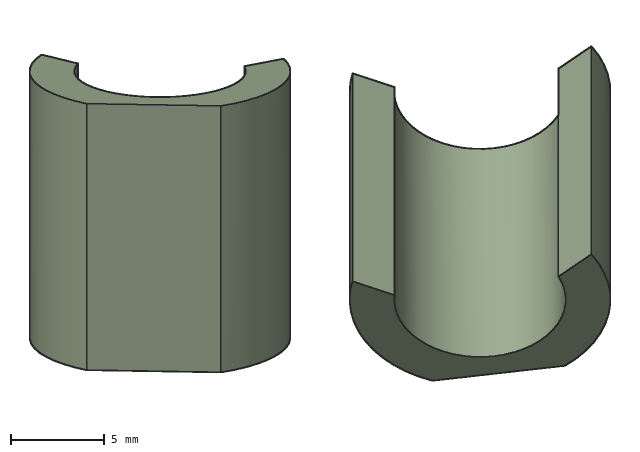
import cadquery as cq
import math

height = 15.0
outer_radius = 7.0
inner_radius = 4.6
flat_distance = 6.0
mouth_outer_width = 13.0
mouth_inner_width = 8.92
mouth_direction = 141.85


def point_on_circle(radius, half_width):
    """Point at the given sideways offset, on the +X (mouth) side of a circle."""
    return (math.sqrt(radius**2 - half_width**2), half_width)


def mirrored(point):
    """Reflect a point across the centre line of the mouth."""
    return (point[0], -point[1])


def make_clip():
    """C-shaped clip on the Z axis, with its mouth facing +X and its flat at -X."""
    outer_tip = point_on_circle(outer_radius, mouth_outer_width / 2)
    inner_tip = point_on_circle(inner_radius, mouth_inner_width / 2)
    flat_end = (-flat_distance, math.sqrt(outer_radius**2 - flat_distance**2))
    side = (0, outer_radius)
    bore_back = (-inner_radius, 0)

    return (
        cq.Workplane("XY")
        .moveTo(*outer_tip)
        .threePointArc(side, flat_end)
        .lineTo(*mirrored(flat_end))
        .threePointArc(mirrored(side), mirrored(outer_tip))
        .lineTo(*mirrored(inner_tip))
        .threePointArc(bore_back, inner_tip)
        .close()
        .extrude(height)
    )


result = make_clip().rotate((0, 0, 0), (0, 0, 1), mouth_direction)